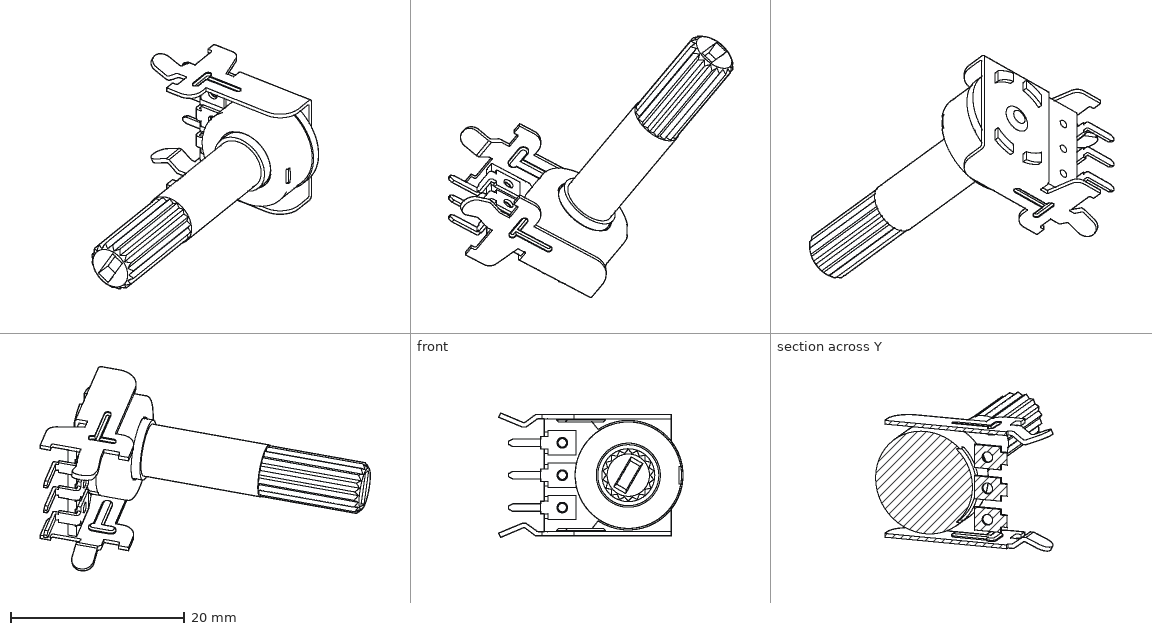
import cadquery as cq
import math


SHAFT_RADIUS = 3.05
SHAFT_TIP_Y = -27.0
COLLAR_RADIUS = 3.53
COLLAR_LENGTH = 1.0
COLLAR_GAP_WIDTH = 0.18
COLLAR_GAP_DEPTH = 0.18

SPLINE_LENGTH = 12.0
SPLINE_TEETH = 18
SPLINE_TIP_RADIUS = 3.0
SPLINE_ROOT_RADIUS = 2.55
TIP_CHAMFER_RADIAL = 0.55
TIP_CHAMFER_AXIAL = 0.45
SLOT_LENGTH = 4.0
SLOT_WIDTH = 1.6
SLOT_DEPTH = 1.45
SLOT_END_SLOPE = 0.45
SLOT_SIDE_SLOPE = 0.15
SLOT_ANGLE = 60.0

HOUSING_RADIUS = 6.15
HOUSING_FILLET = 0.35
FLANGE_RADIUS = 6.35
FLANGE_FRONT_Y = 4.85
RECESS_FRONT_Y = 3.55
RECESS_HALF_HEIGHT = 4.4
RECESS_RADIUS = 5.85
KEY_HALF_HEIGHT = 1.0
KEY_DEPTH = 0.3
KEY_LENGTH = 0.45

SHEET = 0.5
BEND_OUTER_RADIUS = 0.45
BEND_INNER_RADIUS = 0.32
PLATE_OUTER_Z = 7.02
PLATE_INNER_Z = PLATE_OUTER_Z - SHEET
BACK_HALF_WIDTH = 4.95
BACK_Y = 6.4
BACK_FRONT_Y = BACK_Y - SHEET
NOTCH_Y = 4.9
FRONT_EDGE_Y = 1.2
CORNER_RADIUS = 2.63
PLATE_LEFT_X = -10.0
FOOT_FILLET = 0.2
FRONT_FOOT_Y = -1.45
FRONT_FOOT_HEEL_Y = -0.2
FRONT_FOOT_RIGHT_X = -6.25
FRONT_FOOT_RADIUS = 1.75
FRONT_FOOT_NECK_X = -9.35
REAR_FOOT_Y = 9.0
REAR_FOOT_LEFT_X = -10.62
REAR_FOOT_HEEL_Y = 7.78
REAR_FOOT_RADIUS = 1.2
REAR_FOOT_ARC_START_X = -8.05
REAR_FOOT_ARC_END = (-6.9, 8.15)
REAR_FOOT_BASE_X = -6.05

TAB_LEFT_X = -15.0
TAB_ROOT_X = -9.35
TAB_OUTER_BEND_X = -10.73
TAB_INNER_BEND_X = -10.48
TAB_VALLEY = (-12.02, 6.05)
TAB_TIP_OUTER = (-14.75, 7.2)
TAB_TIP_INNER_Z = 6.7
TAB_CREST_LEFT_X = -12.25
TAB_CREST_RIGHT_X = -11.85
TAB_CREST_Z = 5.55
TAB_LOW_Y = 1.7
TAB_HIGH_Y = 4.3
TAB_END_RADIUS = 1.25
TAB_BEND_RADIUS = 0.3

BEAD_X = -7.65
BEAD_Y = 3.0
BEAD_STEM_RIGHT_X = -2.65
BEAD_LOW_Y = 0.72
BEAD_HIGH_Y = 4.0
BEAD_GROOVE_WIDTH = 0.8
BEAD_RIB_WIDTH = 1.22
BEAD_DEPTH = 0.35
BEAD_BEVEL = 0.2

BOARD_LEFT_X = -9.72
BOARD_TAPER_START_X = -4.45
BOARD_TAPER_END_X = -2.75
BOARD_TAPER_END_Z = 4.32
BOARD_HOLE_DIAMETER = 0.97
RELIEF_DEPTH = 0.18

TERMINAL_PITCH = 3.75
TERMINAL_SHEET = 0.4
PAD_LEFT_X = -9.3
PAD_RIGHT_X = -6.05
PAD_HEIGHT = 2.8
PAD_HOLE_DIAMETER = 1.22
HOLE_X = -7.65
RELIEF_HEIGHT = 2.52
LEG_LEFT_X = -10.15
LEG_HEIGHT = 1.48
LEG_SHOULDER_Y = 6.95
PIN_LEFT_X = -13.85
PIN_BACK_Y = 7.65
PIN_HEIGHT = 0.9
PIN_POINT_LENGTH = 0.5
PIN_POINT_HEIGHT = 0.35

LUG_OUTER_RADIUS = 6.05
LUG_INNER_RADIUS = 4.85
LUG_NEAR_X = 0.97
LUG_FAR_X = 3.35
LUG_HEIGHT = 0.55
CONE_BASE_RADIUS = 1.65
CONE_TOP_RADIUS = 0.85
CONE_HEIGHT = 0.45


def block(x_range, y_range, z_range):
    """Box between the given limits on each axis."""
    sizes = [high - low for low, high in (x_range, y_range, z_range)]
    corner = (x_range[0], y_range[0], z_range[0])
    return cq.Workplane("XY").box(*sizes, centered=False).translate(corner)


def front_plane(y):
    """Sketch plane at the given Y; local axes are X and Z, extrusions go to +Y."""
    return cq.Workplane(cq.Plane(origin=(0, y, 0), xDir=(1, 0, 0), normal=(0, -1, 0)))


def disc(radius, y_front, y_back):
    return front_plane(y_front).circle(radius).extrude(y_front - y_back)


def ring(outer, inner, y_front, y_back):
    return disc(outer, y_front, y_back).cut(disc(inner, y_front, y_back))


def mirrored_in_z(solid):
    return solid.union(solid.mirror("XY"))


def make_spline():
    """Sharp-toothed shaft end with a conical tip."""
    points = []
    for i in range(2 * SPLINE_TEETH):
        radius = SPLINE_TIP_RADIUS if i % 2 == 0 else SPLINE_ROOT_RADIUS
        angle = math.pi / 2 + i * math.pi / SPLINE_TEETH
        points.append((radius * math.cos(angle), radius * math.sin(angle)))
    teeth = front_plane(SHAFT_TIP_Y).polyline(points).close().extrude(-SPLINE_LENGTH)
    envelope = disc(SPLINE_TIP_RADIUS, SHAFT_TIP_Y, SHAFT_TIP_Y + SPLINE_LENGTH)
    envelope = envelope.faces("<Y").chamfer(TIP_CHAMFER_AXIAL, TIP_CHAMFER_RADIAL)
    return teeth.intersect(envelope)


def make_screwdriver_slot():
    """Slot with sloping walls in the shaft tip."""
    slot = (
        front_plane(SHAFT_TIP_Y)
        .rect(SLOT_LENGTH, SLOT_WIDTH)
        .workplane(offset=-SLOT_DEPTH)
        .rect(SLOT_LENGTH - 2 * SLOT_END_SLOPE, SLOT_WIDTH - 2 * SLOT_SIDE_SLOPE)
        .loft()
    )
    return slot.rotate((0, 0, 0), (0, -1, 0), SLOT_ANGLE)


def make_shaft():
    shaft = disc(SHAFT_RADIUS, SHAFT_TIP_Y + SPLINE_LENGTH, 0)
    collar = disc(COLLAR_RADIUS, -COLLAR_LENGTH, COLLAR_GAP_DEPTH)
    return shaft.union(collar).union(make_spline()).cut(make_screwdriver_slot())


def make_housing():
    housing = disc(HOUSING_RADIUS, 0, BACK_FRONT_Y).faces("<Y").edges().fillet(HOUSING_FILLET)
    gap = ring(COLLAR_RADIUS + COLLAR_GAP_WIDTH, COLLAR_RADIUS, 0, COLLAR_GAP_DEPTH)
    recess = ring(FLANGE_RADIUS, RECESS_RADIUS, RECESS_FRONT_Y, FLANGE_FRONT_Y).intersect(
        block(
            (-FLANGE_RADIUS, 0),
            (RECESS_FRONT_Y, FLANGE_FRONT_Y),
            (-RECESS_HALF_HEIGHT, RECESS_HALF_HEIGHT),
        )
    )
    key_notch = block(
        (HOUSING_RADIUS - KEY_DEPTH, FLANGE_RADIUS),
        (0, KEY_LENGTH),
        (-KEY_HALF_HEIGHT, KEY_HALF_HEIGHT),
    )
    flange = disc(FLANGE_RADIUS, FLANGE_FRONT_Y, BACK_FRONT_Y)
    return housing.cut(gap).cut(recess).cut(key_notch).union(flange)


def make_side_plate():
    """Upper side plate without its bent tab."""
    return (
        cq.Workplane("XY", origin=(0, 0, PLATE_INNER_Z))
        .moveTo(-BACK_HALF_WIDTH, BACK_Y)
        .lineTo(BACK_HALF_WIDTH, BACK_Y)
        .lineTo(BACK_HALF_WIDTH, FRONT_EDGE_Y + CORNER_RADIUS)
        .radiusArc((BACK_HALF_WIDTH - CORNER_RADIUS, FRONT_EDGE_Y), CORNER_RADIUS)
        .lineTo(FRONT_FOOT_RIGHT_X, FRONT_EDGE_Y)
        .lineTo(FRONT_FOOT_RIGHT_X, FRONT_FOOT_Y + FRONT_FOOT_RADIUS)
        .radiusArc((FRONT_FOOT_RIGHT_X - FRONT_FOOT_RADIUS, FRONT_FOOT_Y), FRONT_FOOT_RADIUS)
        .lineTo(PLATE_LEFT_X, FRONT_FOOT_Y)
        .lineTo(PLATE_LEFT_X, FRONT_FOOT_HEEL_Y)
        .lineTo(FRONT_FOOT_NECK_X - FOOT_FILLET, FRONT_FOOT_HEEL_Y)
        .radiusArc((FRONT_FOOT_NECK_X, FRONT_FOOT_HEEL_Y + FOOT_FILLET), -FOOT_FILLET)
        .lineTo(FRONT_FOOT_NECK_X, TAB_LOW_Y)
        .lineTo(PLATE_LEFT_X, TAB_LOW_Y)
        .lineTo(PLATE_LEFT_X, REAR_FOOT_HEEL_Y - FOOT_FILLET)
        .radiusArc((PLATE_LEFT_X - FOOT_FILLET, REAR_FOOT_HEEL_Y), -FOOT_FILLET)
        .lineTo(REAR_FOOT_LEFT_X, REAR_FOOT_HEEL_Y)
        .lineTo(REAR_FOOT_LEFT_X, REAR_FOOT_Y)
        .lineTo(REAR_FOOT_ARC_START_X, REAR_FOOT_Y)
        .radiusArc(REAR_FOOT_ARC_END, REAR_FOOT_RADIUS)
        .lineTo(REAR_FOOT_BASE_X, NOTCH_Y)
        .lineTo(-BACK_HALF_WIDTH, NOTCH_Y)
        .close()
        .extrude(SHEET)
    )


def make_tab():
    """Snap-in tab with a rounded end."""
    strip = (
        cq.Workplane("XZ", origin=(0, TAB_LOW_Y, 0))
        .moveTo(TAB_ROOT_X, PLATE_OUTER_Z)
        .lineTo(TAB_OUTER_BEND_X, PLATE_OUTER_Z)
        .lineTo(*TAB_VALLEY)
        .lineTo(*TAB_TIP_OUTER)
        .lineTo(TAB_LEFT_X, TAB_TIP_INNER_Z)
        .lineTo(TAB_CREST_LEFT_X, TAB_CREST_Z)
        .lineTo(TAB_CREST_RIGHT_X, TAB_CREST_Z)
        .lineTo(TAB_INNER_BEND_X, PLATE_INNER_Z)
        .lineTo(TAB_ROOT_X, PLATE_INNER_Z)
        .close()
        .extrude(TAB_LOW_Y - TAB_HIGH_Y)
    )
    strip = strip.faces("<X").edges("not |Y").fillet(TAB_END_RADIUS)
    margin = 0.05
    bends = cq.selectors.BoxSelector(
        (TAB_VALLEY[0] - margin, TAB_LOW_Y, TAB_VALLEY[1] - margin),
        (TAB_INNER_BEND_X + margin, TAB_HIGH_Y, PLATE_OUTER_Z + margin),
    )
    return strip.edges("|Y").edges(bends).fillet(TAB_BEND_RADIUS)


def make_bead(width, z_low, z_high):
    """T of two round-ended bars between two heights, beveled at its inner end."""
    plane = cq.Workplane("XY", origin=(0, 0, z_low))
    height = z_high - z_low
    bar_length = BEAD_HIGH_Y - BEAD_LOW_Y
    bar_center = (BEAD_X, (BEAD_HIGH_Y + BEAD_LOW_Y) / 2)
    stem_length = BEAD_STEM_RIGHT_X - BEAD_X + width / 2
    stem_center = (BEAD_STEM_RIGHT_X - stem_length / 2, BEAD_Y)
    bar = plane.center(*bar_center).slot2D(bar_length, width, 90).extrude(height)
    stem = plane.center(*stem_center).slot2D(stem_length, width).extrude(height)
    return bar.union(stem).faces("<Z").chamfer(BEAD_BEVEL)


def back_corner_box(y, z):
    """Selector for the bend edges centred at X = 0, at the given Y and at both +Z and -Z."""
    margin = 0.05
    upper = cq.selectors.BoxSelector((-0.35, y - margin, z - margin), (0.35, y + margin, z + margin))
    lower = cq.selectors.BoxSelector((-0.35, y - margin, -z - margin), (0.35, y + margin, -z + margin))
    return upper + lower


def make_bracket():
    rib = make_bead(BEAD_RIB_WIDTH, PLATE_INNER_Z - BEAD_DEPTH, PLATE_INNER_Z)
    groove = make_bead(BEAD_GROOVE_WIDTH, PLATE_OUTER_Z - BEAD_DEPTH, PLATE_OUTER_Z)
    side = make_side_plate().union(make_tab()).union(rib).cut(groove)
    back = block(
        (-BACK_HALF_WIDTH, BACK_HALF_WIDTH),
        (BACK_FRONT_Y, BACK_Y),
        (-PLATE_OUTER_Z, PLATE_OUTER_Z),
    )
    bracket = mirrored_in_z(side).union(back)
    outer_bends = bracket.edges("|X").edges(back_corner_box(BACK_Y, PLATE_OUTER_Z))
    bracket = outer_bends.fillet(BEND_OUTER_RADIUS)
    inner_bends = bracket.edges("|X").edges(back_corner_box(BACK_FRONT_Y, PLATE_INNER_Z))
    return inner_bends.fillet(BEND_INNER_RADIUS)


def make_board():
    outline = [
        (BOARD_LEFT_X, PLATE_INNER_Z),
        (BOARD_TAPER_START_X, PLATE_INNER_Z),
        (BOARD_TAPER_END_X, BOARD_TAPER_END_Z),
        (BOARD_TAPER_END_X, -BOARD_TAPER_END_Z),
        (BOARD_TAPER_START_X, -PLATE_INNER_Z),
        (BOARD_LEFT_X, -PLATE_INNER_Z),
    ]
    return front_plane(FLANGE_FRONT_Y).polyline(outline).close().extrude(FLANGE_FRONT_Y - BACK_FRONT_Y)


def make_terminal():
    """Middle terminal: pad on the board, leg folded back, pin folded to -X."""
    pad_y = FLANGE_FRONT_Y - TERMINAL_SHEET
    pin_front_y = PIN_BACK_Y - TERMINAL_SHEET
    leg_right_x = LEG_LEFT_X + TERMINAL_SHEET
    pad = block(
        (PAD_LEFT_X, PAD_RIGHT_X), (pad_y, FLANGE_FRONT_Y), (-PAD_HEIGHT / 2, PAD_HEIGHT / 2)
    )
    leg = block(
        (LEG_LEFT_X, PAD_LEFT_X), (pad_y, LEG_SHOULDER_Y), (-LEG_HEIGHT / 2, LEG_HEIGHT / 2)
    )
    leg = leg.edges("|Z and <X and <Y").fillet(TERMINAL_SHEET)
    behind_leg = block(
        (leg_right_x, PAD_LEFT_X), (FLANGE_FRONT_Y, PIN_BACK_Y), (-LEG_HEIGHT, LEG_HEIGHT)
    )
    neck = block(
        (LEG_LEFT_X, leg_right_x), (LEG_SHOULDER_Y, PIN_BACK_Y), (-PIN_HEIGHT / 2, PIN_HEIGHT / 2)
    )
    neck = neck.edges("|Z and >X and >Y").fillet(TERMINAL_SHEET / 2)
    pin_shoulder_x = PIN_LEFT_X + PIN_POINT_LENGTH
    pin = (
        front_plane(pin_front_y)
        .moveTo(LEG_LEFT_X, PIN_HEIGHT / 2)
        .lineTo(pin_shoulder_x, PIN_HEIGHT / 2)
        .lineTo(PIN_LEFT_X, PIN_POINT_HEIGHT / 2)
        .lineTo(PIN_LEFT_X, -PIN_POINT_HEIGHT / 2)
        .lineTo(pin_shoulder_x, -PIN_HEIGHT / 2)
        .lineTo(LEG_LEFT_X, -PIN_HEIGHT / 2)
        .close()
        .extrude(-TERMINAL_SHEET)
    )
    return pad.union(leg.cut(behind_leg)).union(neck).union(pin)


def add_terminals(board):
    """Board with its three terminals, edge reliefs and through holes."""
    relief = block(
        (BOARD_LEFT_X, PAD_LEFT_X),
        (FLANGE_FRONT_Y, FLANGE_FRONT_Y + RELIEF_DEPTH),
        (-RELIEF_HEIGHT / 2, RELIEF_HEIGHT / 2),
    )
    board_hole = disc(BOARD_HOLE_DIAMETER / 2, 0, BACK_Y).translate((HOLE_X, 0, 0))
    pad_hole = disc(PAD_HOLE_DIAMETER / 2, 0, FLANGE_FRONT_Y).translate((HOLE_X, 0, 0))
    terminal = make_terminal()
    for step in (-1, 0, 1):
        offset = (0, 0, step * TERMINAL_PITCH)
        board = board.cut(relief.translate(offset)).union(terminal.translate(offset))
        board = board.cut(board_hole.translate(offset)).cut(pad_hole.translate(offset))
    return board


def make_rear_features():
    """Four curved lugs and a central cone on the back plate."""
    lug_y = (BACK_Y, BACK_Y + LUG_HEIGHT)
    lug = ring(LUG_OUTER_RADIUS, LUG_INNER_RADIUS, *lug_y).intersect(
        block((LUG_NEAR_X, LUG_FAR_X), lug_y, (0, LUG_OUTER_RADIUS))
    )
    lugs = mirrored_in_z(lug.union(lug.mirror("YZ")))
    cone = (
        front_plane(BACK_Y)
        .circle(CONE_BASE_RADIUS)
        .workplane(offset=-CONE_HEIGHT)
        .circle(CONE_TOP_RADIUS)
        .loft()
    )
    return lugs.union(cone)


result = (
    make_housing()
    .union(make_shaft())
    .union(add_terminals(make_board()))
    .union(make_bracket())
    .union(make_rear_features())
)